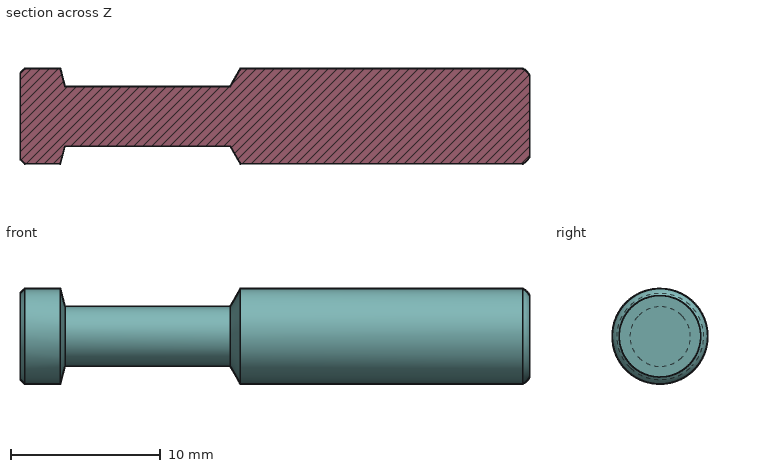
import cadquery as cq

total_length = 34.0
outer_diameter = 6.4
neck_diameter = 4.0
head_length = 3.0
head_front_chamfer = 0.3
head_back_taper = 0.3
shoulder_start = 14.0
shoulder_length = 0.68
tail_rounding_length = 0.48
tail_flat_radius = 2.72
tail_arc_radius = 1.0

outer_radius = outer_diameter / 2
neck_radius = neck_diameter / 2
left_end = -total_length / 2
right_end = total_length / 2
head_back = left_end + head_length
rounding_x = right_end - tail_rounding_length
shoulder_x = left_end + shoulder_start

profile = (
    cq.Workplane("XY")
    .moveTo(left_end, 0)
    .lineTo(left_end, outer_radius - head_front_chamfer)
    .lineTo(left_end + head_front_chamfer, outer_radius)
    .lineTo(head_back - head_back_taper, outer_radius)
    .lineTo(head_back, neck_radius)
    .lineTo(shoulder_x, neck_radius)
    .lineTo(shoulder_x + shoulder_length, outer_radius)
    .lineTo(rounding_x, outer_radius)
    .radiusArc((right_end, tail_flat_radius), tail_arc_radius)
    .lineTo(right_end, 0)
    .close()
)
result = profile.revolve(360, (0, 0, 0), (1, 0, 0))